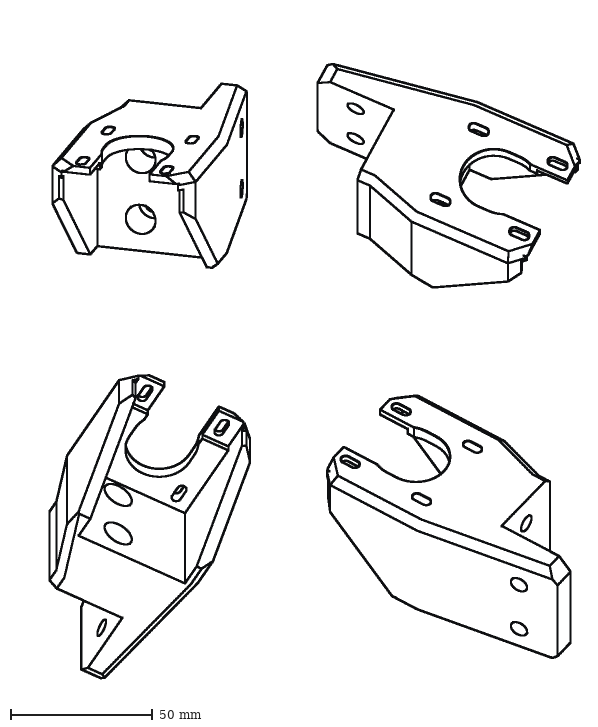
import cadquery as cq


width = 53.0
length = 97.5
height = 47.0
half_width = width / 2

front_corner = 5.1
side_end_y = 43.0
left_shoulder_x = -20.0
left_shoulder_y = 62.5
back_face_y = 67.5
flange_face_x = 9.5
flange_end_x = 17.5
edge_chamfer = 3.0
flange_chamfer = 5.0

plate_thickness = 5.0
pocket_width = 43.0
pocket_back_y = 43.5
mouth_flare_width = 1.5
mouth_flare_depth = 0.5
lip_thickness = 2.6
lip_depth = 12.0
underside_front_z = -12.0

motor_y = 21.5
motor_travel = 4.0
bore_diameter = 24.0
neck_width = 22.0
screw_spacing = 31.0
screw_slot_width = 3.25
rim_bevel = 0.15

hole_diameter = 6.3
counterbore_diameter = 11.0
hole_zs = (-12.0, -35.0)
back_hole_x = -5.5
back_hole_seat = 8.0
flange_hole_y = length - 15.0


def box(x_min, x_max, y_min, y_max, z_min, z_max):
    """Axis-aligned block given by its limits."""
    size = (x_max - x_min, y_max - y_min, z_max - z_min)
    return cq.Workplane("XY").box(*size, centered=False).translate((x_min, y_min, z_min))


def make_body():
    """Full-height block with bevelled outer edges on its top and bottom."""
    left_front = (-half_width, front_corner)
    left_side = (-half_width, side_end_y)
    left_shoulder = (left_shoulder_x, left_shoulder_y)
    left_back = (left_shoulder_x, back_face_y)
    right_back = (flange_end_x, length)
    right_side = (half_width, side_end_y)
    right_front = (half_width, front_corner)
    front_left = (front_corner - half_width, 0)
    front_right = (half_width - front_corner, 0)
    outline = [
        front_left, left_front, left_side, left_shoulder, left_back,
        (flange_face_x, back_face_y), (flange_face_x, length),
        right_back, right_side, right_front, front_right,
    ]
    body = cq.Workplane("XY").polyline(outline).close().extrude(-height)

    left_edges = [(left_side, left_shoulder), (left_shoulder, left_back)]
    right_edges = [(right_back, right_side), (right_side, right_front)]
    front_edges = [
        (front_left, left_front), (left_front, left_side), (right_front, front_right),
    ]
    bevelled = [(start, end, 0) for start, end in left_edges + right_edges + front_edges]
    bevelled += [(start, end, -height) for start, end in left_edges + right_edges]
    edges = []
    for start, end, z in bevelled:
        middle = ((start[0] + end[0]) / 2, (start[1] + end[1]) / 2, z)
        edges += body.edges(cq.selectors.NearestToPointSelector(middle)).vals()
    return body.newObject(edges).chamfer(edge_chamfer)


def flange_corner(z, inward):
    """Triangular wedge that cuts one rear corner of the flange."""
    return (
        cq.Workplane("YZ")
        .polyline([
            (length, z),
            (length - flange_chamfer, z),
            (length, z + inward * flange_chamfer),
        ])
        .close()
        .extrude(half_width, both=True)
    )


def underside_slope():
    """Wedge below the 45 degree plane that rises towards the front."""
    return (
        cq.Workplane("YZ")
        .polyline([
            (0, underside_front_z),
            (height + underside_front_z, -height),
            (0, -height),
        ])
        .close()
        .extrude(half_width, both=True)
    )


def motor_pocket():
    """Pocket under the plate, open below and flared at the front."""
    half_pocket = pocket_width / 2
    half_mouth = half_pocket + mouth_flare_width
    mouth_y = front_corner - (half_width - half_mouth)
    flare_end_y = mouth_y + mouth_flare_depth
    pocket = (
        cq.Workplane("XY", origin=(0, 0, -height))
        .polyline([
            (-half_mouth, 0), (-half_mouth, mouth_y), (-half_pocket, flare_end_y),
            (-half_pocket, pocket_back_y), (half_pocket, pocket_back_y),
            (half_pocket, flare_end_y), (half_mouth, mouth_y), (half_mouth, 0),
        ])
        .close()
        .extrude(height - plate_thickness)
    )
    lip_relief = box(-half_pocket, half_pocket, 0, lip_depth, -plate_thickness, -lip_thickness)
    return pocket.union(lip_relief)


def eased_slots(positions, slot_width):
    """Slots through the plate along the motor travel, with a fine bevel at the top face."""
    plane = cq.Workplane("XY").pushPoints(positions)
    slots = plane.slot2D(slot_width + motor_travel, slot_width, 90).extrude(-plate_thickness)
    rim_width = slot_width + 2 * rim_bevel
    rims = plane.slot2D(rim_width + motor_travel, rim_width, 90).extrude(-rim_bevel, taper=45)
    return slots.union(rims)


def plate_openings():
    """Elongated bore with a neck to the front, and four screw slots."""
    offset = screw_spacing / 2
    screw_positions = [(x, motor_y + y) for x in (-offset, offset) for y in (-offset, offset)]
    bore = eased_slots([(0, motor_y)], bore_diameter)
    neck = box(-neck_width / 2, neck_width / 2, 0, motor_y, -plate_thickness, 0)
    return bore.union(neck).union(eased_slots(screw_positions, screw_slot_width))


def rod(diameter, start, end):
    """Cylinder between two points."""
    axis = cq.Vector(*end) - cq.Vector(*start)
    return cq.Workplane(
        cq.Solid.makeCylinder(diameter / 2, axis.Length, cq.Vector(*start), axis)
    )


def back_hole(z):
    """Counterbored hole from the motor pocket through the back wall."""
    front = (back_hole_x, pocket_back_y, z)
    seat = (back_hole_x, back_face_y - back_hole_seat, z)
    back = (back_hole_x, back_face_y, z)
    return rod(hole_diameter, front, back).union(rod(counterbore_diameter, front, seat))


def flange_hole(z):
    """Plain hole across the flange."""
    return rod(hole_diameter, (flange_face_x, flange_hole_y, z), (half_width, flange_hole_y, z))


result = make_body()
result = result.cut(flange_corner(0, -1)).cut(flange_corner(-height, 1))
result = result.cut(underside_slope())
result = result.cut(motor_pocket()).cut(plate_openings())
for hole_z in hole_zs:
    result = result.cut(back_hole(hole_z)).cut(flange_hole(hole_z))